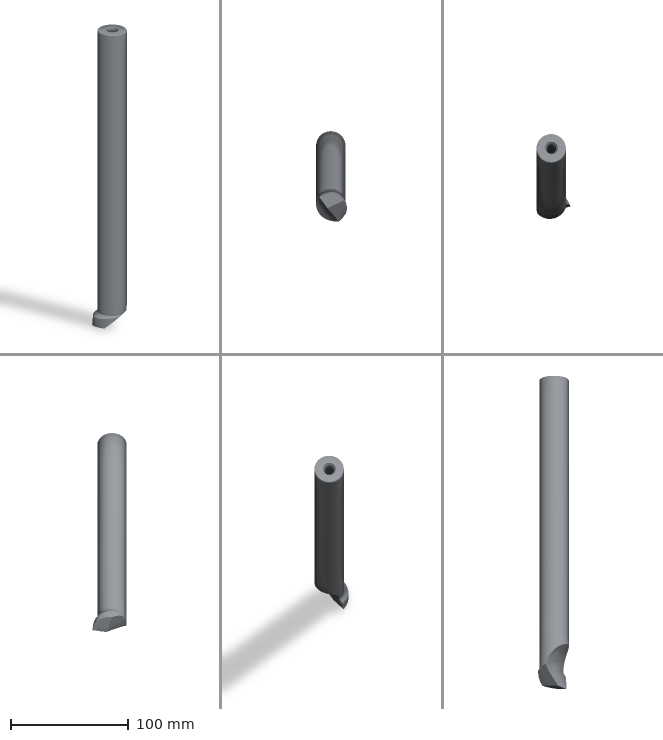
import cadquery as cq
import math

TOTAL_LENGTH = 271.2
BAR_DIAMETER = 25.0
BAR_RADIUS = BAR_DIAMETER / 2
HEAD_LENGTH = 41.2
END_CHAMFER = 0.5
BORE_DIAMETER = 8.5
COUNTERSINK_DIAMETER = 11.5
COUNTERSINK_ANGLE = 60.0

TIP_REACH = 17.0
LOBE_RADIUS = 15.0
LOBE_OFFSET = TIP_REACH - LOBE_RADIUS
CONE_TOP = 13.5
CONE_SLOPE = 0.9
CONE_RADIUS = 21.7
FLANK_RADIUS = 17.4
FLANK_TILT = 5.7
BOTTOM_RELIEF = 8.0
BOTTOM_EDGE_TILT = 1.5

BACK_BOTTOM_X = -5.5
BACK_TOP_Z = 15.0

FLUTE_RADIUS = 27.0
FLUTE_START_Z = 10.8
FLUTE_FALL = 0.26
FLUTE_OVERRUN = 2.7

CUT_SIZE = 54.2


def make_shank():
    length = TOTAL_LENGTH - HEAD_LENGTH
    shank = cq.Workplane("XY", origin=(0, 0, HEAD_LENGTH)).circle(BAR_RADIUS).extrude(length)
    shank = shank.faces(">Z").chamfer(END_CHAMFER)
    return shank.faces(">Z").workplane().cskHole(BORE_DIAMETER, COUNTERSINK_DIAMETER, COUNTERSINK_ANGLE)


def make_lobe():
    """Half of an eccentric disc with a conical top and a relieved flank."""
    lobe = cq.Workplane("XY").center(-LOBE_OFFSET, 0).circle(LOBE_RADIUS).extrude(CONE_TOP)
    flank = (
        cq.Workplane("XY", origin=(0, 0, -CUT_SIZE / 2))
        .center(FLANK_RADIUS, 0)
        .circle(FLANK_RADIUS)
        .extrude(CUT_SIZE)
        .rotate((0, 0, 0), (0, 1, 0), FLANK_TILT)
        .translate((-TIP_REACH, 0, 0))
    )
    cone_edge_z = CONE_TOP - CONE_SLOPE * (CONE_RADIUS - BAR_RADIUS)
    cone = (
        cq.Workplane("XZ")
        .polyline([(0, 0), (CONE_RADIUS, 0), (CONE_RADIUS, cone_edge_z), (BAR_RADIUS, CONE_TOP), (0, CONE_TOP)])
        .close()
        .revolve(360, (0, 0), (0, 1))
    )
    front_half = cq.Workplane("XY").box(CUT_SIZE, CUT_SIZE, CUT_SIZE).translate((0, -CUT_SIZE / 2, 0))
    return lobe.intersect(cone).intersect(front_half).intersect(flank)


def make_flute():
    """Arc profile swept across the head, falling towards +X."""
    top_y = BAR_RADIUS + FLUTE_OVERRUN
    arc_z = FLUTE_START_Z + math.sqrt(FLUTE_RADIUS**2 - (FLUTE_RADIUS - top_y) ** 2)
    middle_angle = math.asin((arc_z - FLUTE_START_Z) / FLUTE_RADIUS) / 2
    middle_y = FLUTE_RADIUS * (1 - math.cos(middle_angle))
    middle_z = FLUTE_START_Z + FLUTE_RADIUS * math.sin(middle_angle)
    profile = (
        cq.Workplane("YZ", origin=(-CUT_SIZE / 2, 0, FLUTE_FALL * CUT_SIZE / 2))
        .moveTo(0, -CUT_SIZE)
        .lineTo(0, FLUTE_START_Z)
        .threePointArc((middle_y, middle_z), (top_y, arc_z))
        .lineTo(top_y, -CUT_SIZE)
        .close()
    )
    sweep = cq.Vector(CUT_SIZE, 0, -FLUTE_FALL * CUT_SIZE)
    return cq.Workplane(cq.Solid.extrudeLinear(cq.Face.makeFromWires(profile.val()), sweep))


def make_back_cut():
    slope = BACK_TOP_Z / (BAR_RADIUS - BACK_BOTTOM_X)
    return (
        cq.Workplane("XZ")
        .polyline([
            (BACK_BOTTOM_X - CUT_SIZE, -slope * CUT_SIZE),
            (BACK_BOTTOM_X + CUT_SIZE, slope * CUT_SIZE),
            (BACK_BOTTOM_X + CUT_SIZE, -slope * CUT_SIZE),
        ])
        .close()
        .extrude(CUT_SIZE / 2, both=True)
    )


def make_bottom_cut():
    """Relief below the end edge, rising away from the tip towards -Y and +X."""
    return (
        cq.Workplane("XY")
        .box(2 * CUT_SIZE, 2 * CUT_SIZE, CUT_SIZE)
        .translate((0, 0, -CUT_SIZE / 2))
        .rotate((0, 0, 0), (1, 0, 0), -BOTTOM_RELIEF)
        .rotate((0, 0, 0), (0, 1, 0), -BOTTOM_EDGE_TILT)
        .translate((-TIP_REACH, 0, 0))
    )


def make_head():
    head = cq.Workplane("XY").circle(BAR_RADIUS).extrude(HEAD_LENGTH)
    head = head.cut(make_flute())
    head = head.union(make_lobe())
    return head.cut(make_back_cut()).cut(make_bottom_cut())


shank = make_shank()
head = make_head()
result = cq.Compound.makeCompound([shank.val(), *head.vals()])